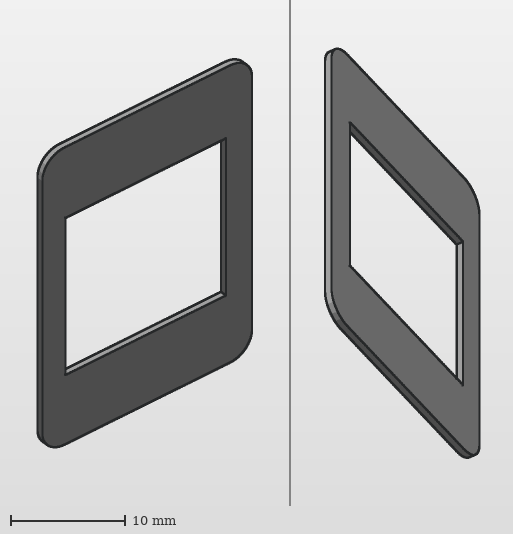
import cadquery as cq

thickness = 0.7
plate_width = 23.7
plate_height = 32.8
corner_radius = 2.5

window_width = 18.1
window_height = 17.32
window_center_y = -0.15
window_center_z = -0.1


def upright_block(width, height):
    """Block of the plate thickness, centred on the origin."""
    return cq.Workplane("XY").box(thickness, width, height)


plate = upright_block(plate_width, plate_height).edges("|X").fillet(corner_radius)
window = upright_block(window_width, window_height).translate((0, window_center_y, window_center_z))

result = plate.cut(window)